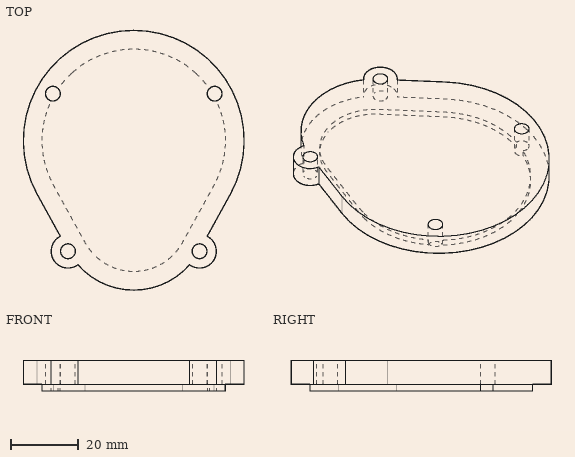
import cadquery as cq
import math

large_radius = 32.5
small_radius = 21.8
overall_length = 76.5
center_distance = overall_length - large_radius - small_radius
plate_thickness = 7.0

lip_inset = 5.5
lip_height = 2.0

hole_diameter = 4.3
lug_radius = 5.0
upper_hole_x = 23.8
upper_hole_y = 13.85
lug_x = 19.35
lug_y = -32.5

upper_points = [(-upper_hole_x, upper_hole_y), (upper_hole_x, upper_hole_y)]
lug_points = [(-lug_x, lug_y), (lug_x, lug_y)]


def egg(inset, bottom_z, height):
    """Extrude the egg outline, shrunk evenly by inset."""
    top_radius = large_radius - inset
    bottom_radius = small_radius - inset
    tangent_angle = math.asin((top_radius - bottom_radius) / center_distance)
    across = math.cos(tangent_angle)
    down = math.sin(tangent_angle)
    top_x = top_radius * across
    top_y = -top_radius * down
    bottom_x = bottom_radius * across
    bottom_y = -center_distance - bottom_radius * down
    return (
        cq.Workplane("XY", origin=(0, 0, bottom_z))
        .moveTo(-top_x, top_y)
        .threePointArc((0, top_radius), (top_x, top_y))
        .lineTo(bottom_x, bottom_y)
        .threePointArc((0, -center_distance - bottom_radius), (-bottom_x, bottom_y))
        .close()
        .extrude(height)
    )


plate = egg(0, 0, plate_thickness)
lip = egg(lip_inset, -lip_height, lip_height)
lugs = cq.Workplane("XY").pushPoints(lug_points).circle(lug_radius).extrude(plate_thickness)

holes = (
    cq.Workplane("XY", origin=(0, 0, -lip_height))
    .pushPoints(upper_points + lug_points)
    .circle(hole_diameter / 2)
    .extrude(plate_thickness + lip_height)
)

result = plate.union(lip).union(lugs).cut(holes)